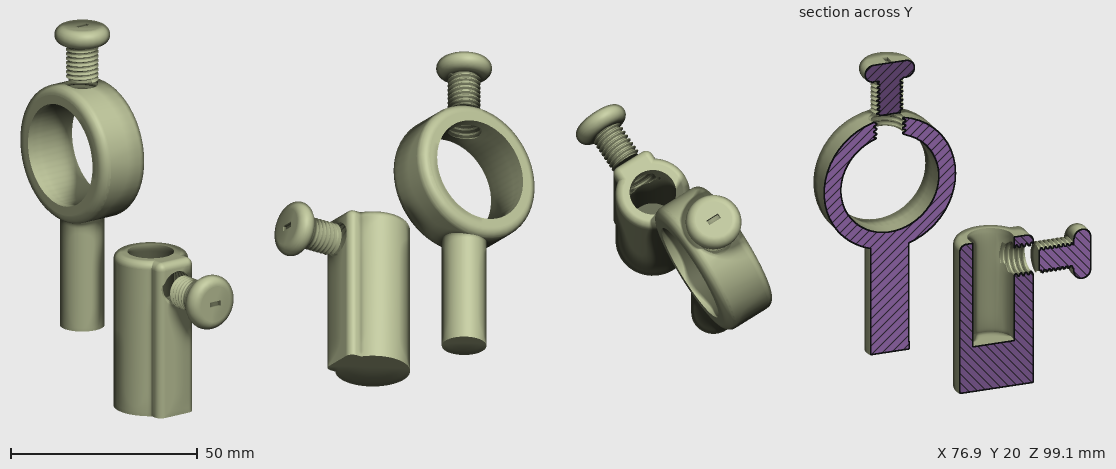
import cadquery as cq
shank_length = 10.0
turns_per_shank = 8
pitch = shank_length / turns_per_shank
screw_root_dia = 7.4
screw_crest_dia = 8.8
hole_scale = 1.15
hole_length = hole_scale * shank_length
hole_overrun = 0.1
tip_width = 0.1 * pitch
base_width = 0.8 * pitch
blend = 0.1

head_dia = 15.0
head_thickness = head_dia / 3
head_edge_radius = head_thickness / 2
slot_width = 1.5
slot_length = 3.7
slot_depth = 1.0

ring_bore_dia = 28.0
ring_wall = 5.0
ring_dia = ring_bore_dia + 2 * ring_wall
ring_width = 15.0
ring_edge_radius = ring_wall / 2
ring_center_z = 64.1
post_dia = 12.0
post_bottom_z = 15.2

socket_x = 29.8
socket_dia = 20.0
socket_height = 43.1
socket_bore_dia = 12.5
socket_bore_depth = 30.0
boss_reach = 11.5
boss_width = 12.0
socket_edge_radius = 2.0
socket_hole_drop = 7.0

top_of_eye_screw = 99.1
side_screw_end_x = 57.9
side_screw_z = 35.2


def threaded_shank():
    """Core with a helical thread of trapezoid profile, along Z from Z = 0 up."""
    inner_radius = screw_root_dia / 2 - blend
    outer_radius = screw_crest_dia / 2
    helix = cq.Wire.makeHelix(pitch, shank_length, inner_radius)
    coil = (
        cq.Workplane("XZ")
        .polyline([
            (inner_radius, -base_width / 2),
            (outer_radius, -tip_width / 2),
            (outer_radius, tip_width / 2),
            (inner_radius, base_width / 2),
        ])
        .close()
        .sweep(cq.Workplane(obj=helix), isFrenet=True)
    )
    core = cq.Workplane("XY").circle(screw_root_dia / 2).extrude(shank_length)
    envelope = cq.Workplane("XY").circle(screw_crest_dia).extrude(shank_length)
    return core.union(coil).intersect(envelope)


def thumb_screw():
    """Screw along Z with the tip at Z = 0 and the head on top."""
    flat_radius = head_dia / 2 - head_edge_radius
    head_top = shank_length + head_thickness
    head = (
        cq.Workplane("XZ")
        .moveTo(0, shank_length)
        .lineTo(flat_radius, shank_length)
        .threePointArc((head_dia / 2, shank_length + head_edge_radius), (flat_radius, head_top))
        .lineTo(0, head_top)
        .close()
        .revolve(360, (0, 0, 0), (0, 1, 0))
    )
    slot = (
        cq.Workplane("XY", origin=(0, 0, head_top - slot_depth))
        .rect(slot_width, slot_length)
        .extrude(slot_depth)
    )
    return threaded_shank().union(head).cut(slot)


def threaded_hole():
    """Cutter for a threaded hole along Z, from Z = 0 up."""
    return cq.Workplane(obj=threaded_shank().val().scale(hole_scale))


def along_x(shape):
    """Turn a shape so that its +Z direction points to +X."""
    return shape.rotate((0, 0, 0), (0, 1, 0), 90)


def make_eye():
    """Ring with rounded rims, a post below it and a threaded hole through its top."""
    ring = (
        cq.Workplane("XZ", origin=(0, ring_width / 2, ring_center_z))
        .circle(ring_dia / 2)
        .extrude(ring_width)
        .faces("<Y or >Y")
        .edges()
        .fillet(ring_edge_radius)
    )
    post = (
        cq.Workplane("XY", origin=(0, 0, post_bottom_z))
        .circle(post_dia / 2)
        .extrude(ring_center_z - post_bottom_z)
    )
    bore = (
        cq.Workplane("XZ", origin=(0, ring_width / 2, ring_center_z))
        .circle(ring_bore_dia / 2)
        .extrude(ring_width)
    )
    hole_start = ring_center_z + ring_dia / 2 - hole_length + hole_overrun
    screw_hole = threaded_hole().translate((0, 0, hole_start))
    return ring.union(post).cut(bore).cut(screw_hole)


def make_socket():
    """Tube with a blind bore from the top and a threaded hole through its boss."""
    tube = cq.Workplane("XY").circle(socket_dia / 2).extrude(socket_height)
    boss = (
        cq.Workplane("XY")
        .box(boss_reach, boss_width, socket_height, centered=(False, True, False))
        .edges("|Z and >X")
        .fillet(socket_edge_radius)
    )
    body = tube.union(boss).faces(">Z").edges().fillet(socket_edge_radius)
    bore = (
        cq.Workplane("XY", origin=(0, 0, socket_height - socket_bore_depth))
        .circle(socket_bore_dia / 2)
        .extrude(socket_bore_depth)
    )
    hole_start = boss_reach - hole_length + hole_overrun
    screw_hole = along_x(threaded_hole()).translate((hole_start, 0, socket_height - socket_hole_drop))
    return body.cut(bore).cut(screw_hole).translate((socket_x, 0, 0))


screw_length = shank_length + head_thickness
eye = make_eye()
socket = make_socket()
eye_screw = thumb_screw().translate((0, 0, top_of_eye_screw - screw_length))
side_screw = along_x(thumb_screw()).translate((side_screw_end_x - screw_length, 0, side_screw_z))

result = cq.Compound.makeCompound([eye.val(), socket.val(), eye_screw.val(), side_screw.val()])